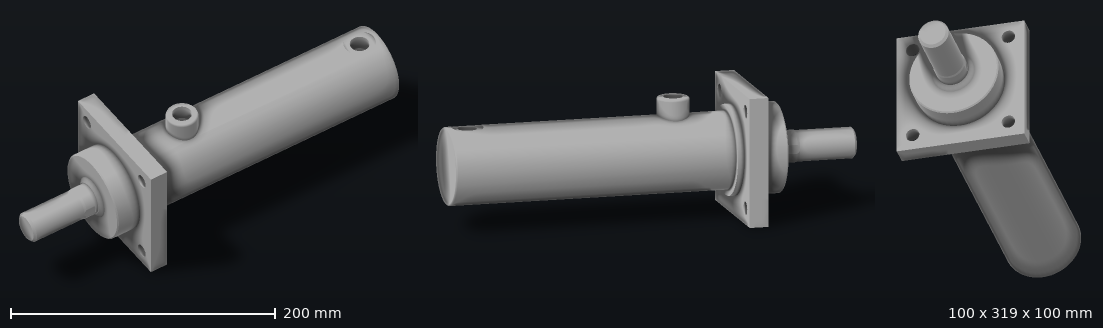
import cadquery as cq
import math


total_length = 319.0
shank_length = 45.0
head_front = 60.0
flange_front = 80.0
flange_back = 94.7
head_back = 100.0
front_port_y = 141.3
rear_port_y = 302.5

tube_radius = 60.0 / 2
head_radius = 70.0 / 2
flange_side = 100.0
bolt_pitch = 75.0
bolt_hole_diameter = 10.5
head_chamfer = 1.0
tube_fillet = 1.3

lip_length = 3.0
lip_base_radius = 16.5
lip_tip_radius = 13.0

port_diameter = 25.0
port_bore_diameter = 15.0
port_bore_depth = 12.0
drill_point_angle = 118.0
boss_top_z = 44.0
boss_fillet = 2.0
spotface_depth = 1.45

rod_radius = 25.0 / 2
shank_radius = 24.0 / 2
tip_chamfer = 2.0
shoulder_length = 2.0
flats_start = 55.2
flats_width = 2 * shank_radius
rod_length = head_back


def disc(radius, start, end):
    """Solid cylinder about the Y axis between two stations."""
    return cq.Workplane("XZ", origin=(0, start, 0)).circle(radius).extrude(start - end)


def drilled_bore(y, mouth_z):
    """Cutter for a blind hole going down from mouth_z, with a conical drill point."""
    radius = port_bore_diameter / 2
    point_depth = radius / math.tan(math.radians(drill_point_angle / 2))
    wall_end_z = mouth_z - port_bore_depth
    return (
        cq.Workplane("XZ", origin=(0, y, 0))
        .moveTo(0, mouth_z)
        .lineTo(radius, mouth_z)
        .lineTo(radius, wall_end_z)
        .lineTo(0, wall_end_z - point_depth)
        .close()
        .revolve(360, (0, 0, 0), (0, 1, 0))
    )


def make_flange():
    """Square mounting plate with four bolt holes."""
    thickness = flange_back - flange_front
    return (
        cq.Workplane("XZ", origin=(0, flange_back, 0))
        .rect(flange_side, flange_side)
        .extrude(thickness)
        .faces("<Y")
        .workplane(centerOption="CenterOfBoundBox")
        .rect(bolt_pitch, bolt_pitch, forConstruction=True)
        .vertices()
        .hole(bolt_hole_diameter)
    )


def make_wiper_lip():
    """Tapered ring standing out from the head."""
    return (
        cq.Workplane("XY")
        .moveTo(0, head_front)
        .lineTo(lip_base_radius, head_front)
        .lineTo(lip_tip_radius, head_front - lip_length)
        .lineTo(0, head_front - lip_length)
        .close()
        .revolve(360, (0, 0, 0), (0, 1, 0))
    )


def make_boss():
    """Round port boss rising from the tube axis, rounded at its top."""
    return (
        cq.Workplane("XY", origin=(0, front_port_y, 0))
        .circle(port_diameter / 2)
        .extrude(boss_top_z)
        .faces(">Z").edges()
        .fillet(boss_fillet)
    )


def make_housing():
    """Tube, head, flange, wiper lip and ports, with a blind hole for the rod."""
    tube = disc(tube_radius, head_back, total_length).faces(">Y").edges().fillet(tube_fillet)
    head = disc(head_radius, head_front, head_back).faces("<Y").chamfer(head_chamfer)
    body = tube.union(head).union(make_flange()).union(make_wiper_lip()).union(make_boss())

    spotface_z = tube_radius - spotface_depth
    spotface = (
        cq.Workplane("XY", origin=(0, rear_port_y, spotface_z))
        .circle(port_diameter / 2)
        .extrude(tube_radius)
    )
    body = body.cut(spotface)
    body = body.cut(drilled_bore(rear_port_y, spotface_z))
    body = body.cut(drilled_bore(front_port_y, boss_top_z))
    return body.cut(disc(rod_radius, 0, rod_length))


def make_rod():
    """Turned rod with a narrow shank and two wrench flats behind the shoulder."""
    profile = [
        (0, 0),
        (shank_radius - tip_chamfer, 0),
        (shank_radius, tip_chamfer),
        (shank_radius, shank_length),
        (rod_radius, shank_length + shoulder_length),
        (rod_radius, rod_length),
        (0, rod_length),
    ]
    rod = cq.Workplane("XY").polyline(profile).close().revolve(360, (0, 0, 0), (0, 1, 0))

    flats_length = flats_start - shank_length
    flats_middle = (flats_start + shank_length) / 2
    for side in (-1, 1):
        cutter = cq.Workplane("XY").box(rod_radius, flats_length, 2 * rod_radius)
        offset = side * (flats_width + rod_radius) / 2
        rod = rod.cut(cutter.translate((offset, flats_middle, 0)))
    return rod


housing = make_housing()
rod = make_rod()
result = cq.Compound.makeCompound([housing.val(), rod.val()])